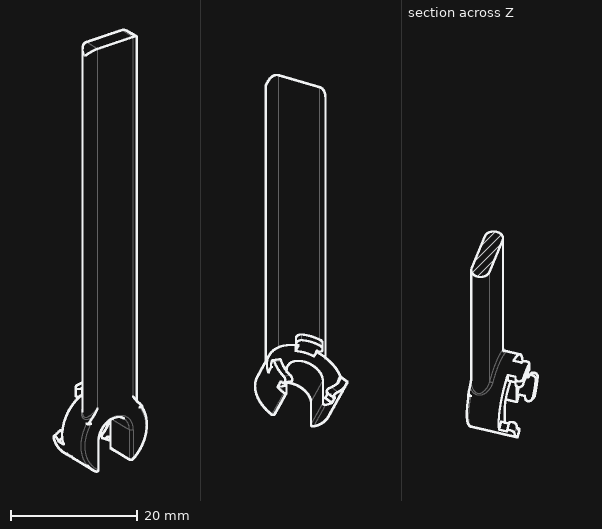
import cadquery as cq
import math

total_depth = 8.0
total_height = 75.4

ring_radius = 6.5
ring_front_x = 2.6
ring_depth = total_depth - ring_front_x
slot_half_width = 3.1
back_edge_round = 0.45
jaw_tip_round = 0.3
ring_center_z = jaw_tip_round + math.sqrt(
    (ring_radius - jaw_tip_round) ** 2 - (slot_half_width + jaw_tip_round) ** 2
)

blade_thickness = 3.0
blade_width = 10.0
blade_side_radius = blade_thickness / 2
blade_corner_radius = blade_side_radius
blade_root_fillet = 0.45
blade_center_x = total_depth - blade_thickness / 2

prong_count = 3
prong_inner_radius = 5.2
neck_half_width = 1.6
head_length = 1.3
head_peak_half_width = neck_half_width + head_length / 2

tolerance = 0.01

joint_bottom_z = ring_center_z + math.sqrt(ring_radius**2 - (blade_width / 2) ** 2)
sharp_edge_start_z = joint_bottom_z - blade_root_fillet


def x_cylinder(radius, start_x, length):
    return cq.Workplane("YZ", origin=(start_x, 0, ring_center_z)).circle(radius).extrude(length)


def make_sharp_ring():
    """Ring with a downward mouth and rounded jaw tips."""
    opening = (
        cq.Workplane("XY", origin=(0, 0, ring_center_z - ring_radius))
        .rect(2 * total_depth, 2 * slot_half_width)
        .extrude(ring_radius)
    )
    ring = x_cylinder(ring_radius, ring_front_x, ring_depth)
    ring = ring.cut(x_cylinder(slot_half_width, 0, total_depth)).cut(opening)
    return ring.edges("|X and <Z").fillet(jaw_tip_round)


def round_back_edges(body, sharp_ring):
    """Remove the material outside the rounded back outline, below the blade joint."""
    rounded_ring = sharp_ring.faces(">X").edges().fillet(back_edge_round)
    below_joint = (
        cq.Workplane("XY", origin=(0, 0, sharp_edge_start_z))
        .rect(3 * total_depth, 3 * ring_radius)
        .extrude(-3 * ring_radius)
    )
    return body.cut(sharp_ring.cut(rounded_ring).intersect(below_joint))


def make_blade():
    """Blade starting at the crown of the mouth, with its two top corners rounded."""
    blade_start_z = ring_center_z + slot_half_width
    blade_length = total_height - blade_start_z
    rounded_bar = (
        cq.Workplane("XY", origin=(blade_center_x, 0, blade_start_z))
        .slot2D(blade_width, blade_thickness, 90)
        .extrude(blade_length)
    )
    corner_envelope = (
        cq.Workplane("XY", origin=(blade_center_x, 0, blade_start_z))
        .rect(blade_thickness, blade_width)
        .extrude(blade_length)
        .faces(">Z")
        .edges("|X")
        .fillet(blade_corner_radius)
    )
    return rounded_bar.intersect(corner_envelope)


def make_filleted_joint(blade):
    """Blade on a plain disc, with a fillet all around the joint, trimmed at the back plane.

    The disc runs on behind the blade so that the joint is one closed loop.
    """
    disc = x_cylinder(ring_radius, ring_front_x, ring_depth + blade_thickness)
    joined = disc.union(blade)

    def on_joint(edge):
        middle = edge.positionAt(0.5)
        radius = math.hypot(middle.y, middle.z - ring_center_z)
        on_disc_side = abs(radius - ring_radius) < tolerance
        near_blade = abs(middle.x - blade_center_x) < blade_thickness / 2 + tolerance
        return on_disc_side and near_blade and edge.geomType() != "LINE"

    joint_edges = [edge for edge in joined.edges().vals() if on_joint(edge)]
    joined = joined.newObject(joint_edges).fillet(blade_root_fillet)
    behind = (
        cq.Workplane("YZ", origin=(total_depth, 0, 0))
        .rect(2 * total_height, 3 * total_height)
        .extrude(2 * blade_thickness)
    )
    return joined.cut(behind)


def make_prong(angle):
    """Necked prong with bulged head sides, turned about the ring axis."""
    outline = (
        cq.Workplane("XY", origin=(0, 0, ring_center_z))
        .moveTo(0, -neck_half_width)
        .threePointArc((head_length / 2, -head_peak_half_width), (head_length, -neck_half_width))
        .lineTo(ring_front_x, -neck_half_width)
        .lineTo(ring_front_x, neck_half_width)
        .lineTo(head_length, neck_half_width)
        .threePointArc((head_length / 2, head_peak_half_width), (0, neck_half_width))
        .close()
        .extrude(ring_radius)
    )
    shell = x_cylinder(ring_radius, 0, ring_front_x).cut(x_cylinder(prong_inner_radius, 0, ring_front_x))
    prong = outline.intersect(shell)
    return prong.rotate((0, 0, ring_center_z), (1, 0, ring_center_z), angle)


sharp_ring = make_sharp_ring()
inside_disc = x_cylinder(ring_radius, 0, total_depth)
result = make_filleted_joint(make_blade()).cut(inside_disc).union(sharp_ring)
result = round_back_edges(result, sharp_ring)
for index in range(prong_count):
    result = result.union(make_prong(index * 360 / prong_count))